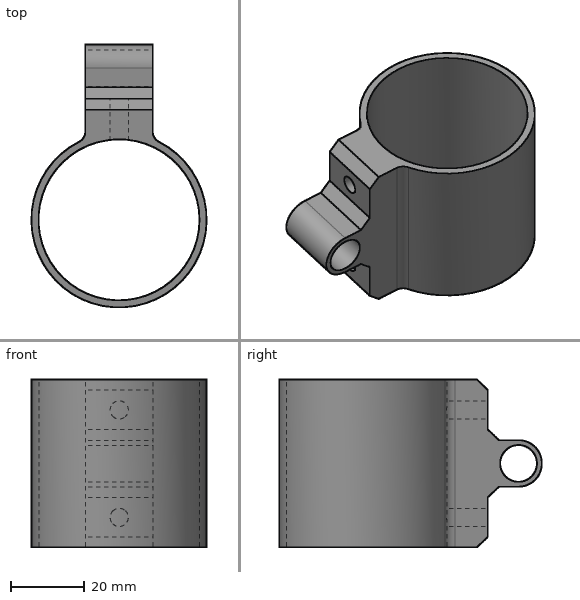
import cadquery as cq

ring_diameter = 48.0
ring_bore = 44.0
height = 46.0
mid_height = height / 2

overall_length = 72.0
lug_width = 18.5
lug_back_y = 33.2
bevel_depth = 3.0
bevel_height = 2.9
root_fillet = 3.0

tube_diameter = 12.8
tube_bore = 10.0
tube_radius = tube_diameter / 2
tube_end_y = overall_length - ring_diameter / 2
tube_center_y = tube_end_y - tube_radius

bolt_diameter = 5.0
flat_outer = mid_height - bevel_height
flat_inner = tube_radius + bevel_height
bolt_offset = (flat_outer + flat_inner) / 2


def make_lug():
    """Extrude the lug's side outline across the lug width, starting on the ring axis."""
    outline = (
        cq.Workplane("YZ", origin=(-lug_width / 2, 0, mid_height))
        .moveTo(0, -mid_height)
        .lineTo(lug_back_y - bevel_depth, -mid_height)
        .lineTo(lug_back_y, -flat_outer)
        .lineTo(lug_back_y, -flat_inner)
        .lineTo(lug_back_y + bevel_depth, -tube_radius)
        .lineTo(tube_center_y, -tube_radius)
        .threePointArc((tube_end_y, 0), (tube_center_y, tube_radius))
        .lineTo(lug_back_y + bevel_depth, tube_radius)
        .lineTo(lug_back_y, flat_inner)
        .lineTo(lug_back_y, flat_outer)
        .lineTo(lug_back_y - bevel_depth, mid_height)
        .lineTo(0, mid_height)
        .close()
    )
    return outline.extrude(lug_width)


def make_body():
    """Join the ring cylinder and lug, then round the two vertical root corners."""
    body = cq.Workplane("XY").circle(ring_diameter / 2).extrude(height).union(make_lug())
    root_y = ((ring_diameter / 2) ** 2 - (lug_width / 2) ** 2) ** 0.5
    for side in (-1, 1):
        root = cq.selectors.NearestToPointSelector((side * lug_width / 2, root_y, mid_height))
        body = body.edges("|Z").edges(root).fillet(root_fillet)
    return body


def cut_bores(body):
    """Cut the ring bore, the tube bore and the two bolt holes."""
    ring_hole = cq.Workplane("XY").circle(ring_bore / 2).extrude(height)
    tube_hole = (
        cq.Workplane("YZ", origin=(-lug_width / 2, tube_center_y, mid_height))
        .circle(tube_bore / 2)
        .extrude(lug_width)
    )
    bolt_holes = (
        cq.Workplane("XZ", origin=(0, 0, mid_height))
        .pushPoints([(0, -bolt_offset), (0, bolt_offset)])
        .circle(bolt_diameter / 2)
        .extrude(-lug_back_y)
    )
    return body.cut(ring_hole).cut(tube_hole).cut(bolt_holes)


result = cut_bores(make_body())